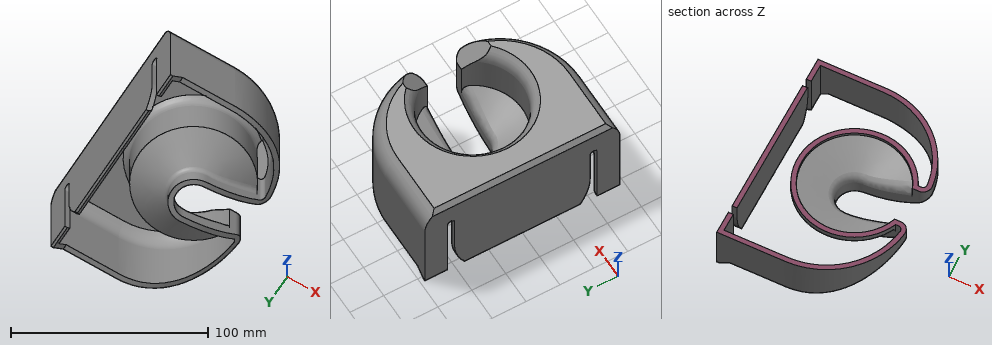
import cadquery as cq
import math


width = 115.0
height = 57.2
wall = 3.0
straight_depth = 38.8
corner_radius = 47.4
corner_y = width / 2 - corner_radius
edge_radius = 15.0
edge_chamfer = 2.5
far = 2 * width

base_z = 4.4
lip_flat = 1.5
lip_depth = 7.4
belly_start = 43.4
belly_radius = 60.0

bowl_x = 49.5
bowl_radius = 29.4
bowl_wall_bottom = height - 30.1
rim_radius = 9.7
rim_chamfer = 2.2
cone_slope = math.radians(30)
floor_round = 6.1

slot_half_width = 10.0
mouth_radius = 5.1
lead_in_half_width = 25.1

cut_outer_y = 44.0
cut_width = 4.0
cut_top = height - 15.1
cut_depth = 1.2 * wall
tab_curve_z = height - 38.2
tab_end_half_width = 34.2

diagonal = math.sqrt(0.5)


def rounded_edge(start, direction, radius, chamfer, inset):
    """Points of a vertical wall that turns through an arc into a 45 degree chamfer.

    `start` is the distance of the uninset wall from the axis and `direction` the side
    (+1 or -1) on which it is empty. Returns wall end, arc middle, arc end, chamfer end.
    """
    arc_z = height - chamfer - radius * diagonal
    arc_centre = start - direction * radius
    arc_radius = radius - inset

    def on_arc(angle):
        return (
            arc_centre + direction * arc_radius * math.cos(angle),
            arc_z + arc_radius * math.sin(angle),
        )

    arc_end = on_arc(math.pi / 4)
    chamfer_rise = height - inset - arc_end[1]
    chamfer_end = (arc_end[0] - direction * chamfer_rise, height - inset)
    return on_arc(0), on_arc(math.pi / 8), arc_end, chamfer_end


def edge_section(plane, centre, inset, bottom):
    """Closed half section from a centre line out to the rounded outer edge."""
    wall_end, arc_middle, arc_end, chamfer_end = rounded_edge(
        corner_radius, 1, edge_radius, edge_chamfer, inset
    )
    return (
        cq.Workplane(plane)
        .moveTo(centre, bottom)
        .lineTo(wall_end[0], bottom)
        .lineTo(*wall_end)
        .threePointArc(arc_middle, arc_end)
        .lineTo(*chamfer_end)
        .lineTo(centre, height - inset)
        .close()
    )


def solid_block(inset, bottom):
    """Block with a flat back, straight sides and rounded front corners."""
    side = edge_section("YZ", -corner_y, inset, bottom).extrude(straight_depth)
    side = side.translate((0, corner_y, 0))
    corner = edge_section("YZ", 0, inset, bottom).revolve(90, (0, 0), (0, -1))
    corner = corner.translate((straight_depth, corner_y, 0))
    front = edge_section("XZ", 0, inset, bottom).extrude(corner_y)
    front = front.translate((straight_depth, corner_y, 0))
    half = side.union(corner).union(front)
    block = half.union(half.mirror("XZ"))

    back_chamfer = edge_chamfer - inset * (2 - 1 / diagonal)
    back = (
        cq.Workplane("XZ")
        .moveTo(inset, bottom)
        .lineTo(inset, height - inset - back_chamfer)
        .lineTo(inset + back_chamfer, height - inset)
        .lineTo(far, height - inset)
        .lineTo(far, bottom)
        .close()
        .extrude(width, both=True)
    )
    return block.intersect(back)


def slot(inset):
    """U-shaped slot that flares around the rounded tips at its mouth."""
    half = slot_half_width + inset
    tip_y = slot_half_width + mouth_radius
    tip_reach = corner_radius - mouth_radius
    tip_angle = math.asin((tip_y - corner_y) / tip_reach)
    tip_x = straight_depth + tip_reach * math.cos(tip_angle)
    flare = mouth_radius - inset
    middle_angle = (tip_angle - math.pi / 2) / 2

    def on_tip(angle, side):
        return (tip_x + flare * math.cos(angle), side * (tip_y + flare * math.sin(angle)))

    return (
        cq.Workplane("XY")
        .moveTo(tip_x, half)
        .lineTo(bowl_x, half)
        .threePointArc((bowl_x - half, 0), (bowl_x, -half))
        .lineTo(tip_x, -half)
        .threePointArc(on_tip(middle_angle, -1), on_tip(tip_angle, -1))
        .lineTo(far, on_tip(tip_angle, -1)[1])
        .lineTo(far, on_tip(tip_angle, 1)[1])
        .lineTo(*on_tip(tip_angle, 1))
        .threePointArc(on_tip(middle_angle, 1), (tip_x, half))
        .close()
        .extrude(far, both=True)
    )


def lead_in(inset):
    """45 degree V that widens the slot upwards, in front of the bowl centre."""
    top_half = lead_in_half_width + inset / diagonal
    return (
        cq.Workplane("YZ")
        .moveTo(-top_half, height)
        .lineTo(top_half, height)
        .lineTo(0, height - top_half)
        .close()
        .extrude(far)
        .translate((bowl_x, 0, 0))
    )


def bowl_floor(inset):
    """Thick conical floor with the slot cut through it and the cut's edge rounded."""
    outer = 1.5 * bowl_radius
    apex_z = bowl_wall_bottom - bowl_radius * math.tan(cone_slope) - inset / math.cos(cone_slope)
    cone = (
        cq.Workplane("XZ")
        .moveTo(0, -height)
        .lineTo(outer, -height)
        .lineTo(outer, apex_z + outer * math.tan(cone_slope))
        .lineTo(0, apex_z)
        .close()
        .revolve(360, (0, 0), (0, 1))
        .translate((bowl_x, 0, 0))
    )
    half = slot_half_width + inset
    channel = (
        cq.Workplane("XY")
        .moveTo(bowl_x + far, half)
        .lineTo(bowl_x, half)
        .threePointArc((bowl_x - half, 0), (bowl_x, -half))
        .lineTo(bowl_x + far, -half)
        .close()
        .extrude(far, both=True)
    )
    edge_zone = cq.selectors.BoxSelector(
        (bowl_x - 2 * half, -1.2 * half, 0),
        (bowl_x + 0.9 * outer, 1.2 * half, height),
    )
    return cone.cut(channel).edges(edge_zone).edges("not |Z").fillet(floor_round - inset)


def bowl(inset):
    """Empty space of the bowl: rounded rim, upright wall and conical floor."""
    wall_end, arc_middle, arc_end, chamfer_end = rounded_edge(
        bowl_radius, -1, rim_radius, rim_chamfer, inset
    )
    space = (
        cq.Workplane("XZ")
        .lineTo(wall_end[0], 0)
        .lineTo(*wall_end)
        .threePointArc(arc_middle, arc_end)
        .lineTo(*chamfer_end)
        .lineTo(0, height - inset)
        .close()
        .revolve(360, (0, 0), (0, 1))
        .translate((bowl_x, 0, 0))
    )
    return space.cut(bowl_floor(inset))


def hook_form(inset, bottom):
    """The whole hook as a solid, with every surface set in by `inset`."""
    form = solid_block(inset, bottom)
    for space in (bowl(inset), slot(inset), lead_in(inset)):
        form = form.cut(space)
    return form


def side_profile():
    """Outline along X of the underside: back lip, flat base and curved belly."""
    belly_centre_z = base_z + belly_radius

    def on_belly(angle):
        return (
            belly_start + belly_radius * math.sin(angle),
            belly_centre_z - belly_radius * math.cos(angle),
        )

    return (
        cq.Workplane("XZ")
        .lineTo(lip_flat, 0)
        .lineTo(lip_depth, base_z)
        .lineTo(belly_start, base_z)
        .threePointArc(on_belly(math.pi / 4), on_belly(math.pi / 2))
        .lineTo(on_belly(math.pi / 2)[0], height)
        .lineTo(0, height)
        .close()
        .extrude(width, both=True)
    )


def tab_cut():
    """Round-topped cut through the back wall that widens along the tab's curved side."""
    inner_y = cut_outer_y - cut_width
    end_round = cut_width / 2
    narrowing = inner_y - tab_end_half_width
    curve_radius = (narrowing**2 + tab_curve_z**2) / (2 * narrowing)
    half_angle = math.asin(tab_curve_z / curve_radius) / 2
    curve_middle = (
        inner_y - curve_radius * (1 - math.cos(half_angle)),
        tab_curve_z - curve_radius * math.sin(half_angle),
    )
    return (
        cq.Workplane("YZ")
        .moveTo(cut_outer_y, 0)
        .lineTo(cut_outer_y, cut_top - end_round)
        .threePointArc((cut_outer_y - end_round, cut_top), (inner_y, cut_top - end_round))
        .lineTo(inner_y, tab_curve_z)
        .threePointArc(curve_middle, (tab_end_half_width, 0))
        .close()
        .extrude(cut_depth)
    )


cavity = hook_form(wall, -wall)
hook = hook_form(0, 0).intersect(side_profile()).cut(cavity)
result = hook.cut(tab_cut()).cut(tab_cut().mirror("XZ"))